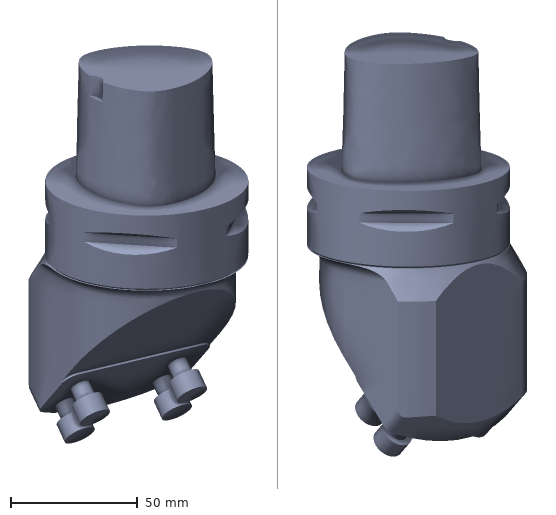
import cadquery as cq
import math


collar_radius = 40.0
collar_height = 31.5
collar_chamfer = 0.8
groove_z = -12.2
groove_floor_distance = 35.5
groove_floor_width = 3.8
groove_mouth_width = 8.9

shank_height = 47.8
base_radius = 27.5
lobe_height = 1.9
shank_taper = 1 / 40
lobe_curve_points = 36
notch_radius = 6.0
notch_centre_y = -28.0
notch_depth = 8.4

head_half_width = 35.1
head_back_x = -40.5
head_envelope_radius = 46.8
shoulder_angle = 30
neck_fillet = collar_radius - head_half_width
neck_bend = neck_fillet * (1 - math.sqrt(0.5))
flare_mid_width = head_half_width + neck_bend
flare_mid_z = -collar_height - neck_bend
flare_bottom_z = -collar_height - neck_fillet

end_face_along = 50.3
pad_height = 0.8
tip_across = -96.7
pad_top_across = -56.8
tip_radius = 63.3
tip_edge_fillet = 5.5

screw_y = 23.3
screw_across = (-83.8, -69.0)
screw_shank_diameter = 8.0
screw_head_diameter = 13.0
screw_head_height = 7.9
screw_end_along = 65.8
screw_start_along = end_face_along - screw_head_height

tall = 4 * collar_radius


def inclined_plane(along):
    """Plane facing down the 45 degree axis; local x is Y and local y is across."""
    half = along / math.sqrt(2)
    return cq.Plane(origin=(half, 0, -half), xDir=(0, 1, 0), normal=(1, 0, -1))


def make_collar():
    collar = cq.Workplane("XY").circle(collar_radius).extrude(-collar_height)
    collar = collar.faces("<Z").chamfer(collar_chamfer)
    outer_distance = 2 * collar_radius - groove_floor_distance
    outer_half = groove_mouth_width - groove_floor_width / 2
    groove = (
        cq.Workplane("XZ")
        .moveTo(groove_floor_distance, groove_z - groove_floor_width / 2)
        .lineTo(outer_distance, groove_z - outer_half)
        .lineTo(outer_distance, groove_z + outer_half)
        .lineTo(groove_floor_distance, groove_z + groove_floor_width / 2)
        .close()
        .extrude(collar_radius, both=True)
    )
    for angle in (45, 135, 225, 315):
        collar = collar.cut(groove.rotate((0, 0, 0), (0, 0, 1), angle))
    return collar


def lobed_outline(radius):
    """Points of a curve of constant width that bulges into three lobes."""
    points = []
    for i in range(lobe_curve_points):
        angle = 2 * math.pi * i / lobe_curve_points
        reach = radius - lobe_height * math.sin(3 * angle)
        slide = -3 * lobe_height * math.cos(3 * angle)
        x = reach * math.cos(angle) - slide * math.sin(angle)
        y = reach * math.sin(angle) + slide * math.cos(angle)
        points.append((x, y))
    return points


def make_shank():
    top_radius = base_radius - shank_taper * shank_height
    shank = (
        cq.Workplane("XY")
        .spline(lobed_outline(base_radius), periodic=True)
        .close()
        .workplane(offset=shank_height)
        .spline(lobed_outline(top_radius), periodic=True)
        .close()
        .loft(ruled=True)
    )
    notch = (
        cq.Workplane("XY", origin=(0, notch_centre_y, shank_height))
        .circle(notch_radius)
        .extrude(-notch_depth)
    )
    return shank.cut(notch)


def make_flat_sided_block():
    """Block from the back face to the axis; its flat sides flare up to the collar."""
    return (
        cq.Workplane("YZ", origin=(head_back_x, 0, 0))
        .moveTo(-collar_radius, -collar_height)
        .lineTo(collar_radius, -collar_height)
        .threePointArc((flare_mid_width, flare_mid_z), (head_half_width, flare_bottom_z))
        .lineTo(head_half_width, -tall)
        .lineTo(-head_half_width, -tall)
        .lineTo(-head_half_width, flare_bottom_z)
        .threePointArc((-flare_mid_width, flare_mid_z), (-collar_radius, -collar_height))
        .close()
        .extrude(-head_back_x)
    )


def make_round_front():
    """Half column in front of the axis, flared like the block behind it."""
    return (
        cq.Workplane("YZ")
        .moveTo(0, -collar_height)
        .lineTo(collar_radius, -collar_height)
        .threePointArc((flare_mid_width, flare_mid_z), (head_half_width, flare_bottom_z))
        .lineTo(head_half_width, -tall)
        .lineTo(0, -tall)
        .close()
        .revolve(180, (0, 0, 0), (0, -1, 0))
    )


def make_envelope():
    """Round outer limit of the head with a conical shoulder under the collar."""
    run = head_envelope_radius - collar_radius
    shoulder_bottom = -collar_height - run / math.tan(math.radians(shoulder_angle))
    return (
        cq.Workplane("XZ")
        .moveTo(0, -collar_height)
        .lineTo(collar_radius, -collar_height)
        .lineTo(head_envelope_radius, shoulder_bottom)
        .lineTo(head_envelope_radius, -tall)
        .lineTo(0, -tall)
        .close()
        .revolve(360, (0, 0, 0), (0, 1, 0))
    )


def make_inclined_bar(end_along, top_across):
    """Bar along the 45 degree axis with an arched lower side and rounded edges."""
    sag = tip_radius - math.sqrt(tip_radius**2 - head_half_width**2)
    section = (
        cq.Sketch()
        .segment((-head_half_width, top_across), (-head_half_width, tip_across + sag))
        .arc((-head_half_width, tip_across + sag), (0, tip_across), (head_half_width, tip_across + sag))
        .segment((head_half_width, tip_across + sag), (head_half_width, top_across))
        .close()
        .assemble()
        .vertices()
        .fillet(tip_edge_fillet)
    )
    return cq.Workplane(inclined_plane(end_along)).placeSketch(section).extrude(-2 * tall)


def make_head():
    blank = make_flat_sided_block().intersect(make_envelope()).union(make_round_front())
    upper_limit = (
        cq.Workplane(inclined_plane(end_face_along))
        .center(0, pad_top_across + tall)
        .rect(2 * tall, 2 * tall)
        .extrude(-2 * tall)
    )
    body_limit = make_inclined_bar(end_face_along, 0).union(upper_limit)
    body = blank.intersect(body_limit)
    pad = blank.intersect(make_inclined_bar(end_face_along + pad_height, pad_top_across))
    return body.union(pad)


def make_screw(y, across):
    head = (
        cq.Workplane(inclined_plane(screw_end_along))
        .center(y, across)
        .circle(screw_head_diameter / 2)
        .extrude(-screw_head_height)
    )
    shank = (
        cq.Workplane(inclined_plane(screw_end_along))
        .center(y, across)
        .circle(screw_shank_diameter / 2)
        .extrude(screw_start_along - screw_end_along)
    )
    return head.union(shank)


result = make_collar().union(make_shank()).union(make_head())
for side in (-1, 1):
    for across in screw_across:
        result = result.union(make_screw(side * screw_y, across))